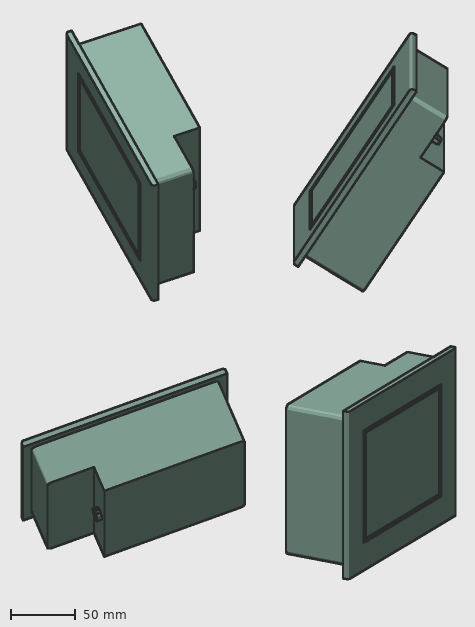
import cadquery as cq
import math

PANEL_WIDTH = 169.0
PANEL_HEIGHT = 137.0
PANEL_THICKNESS = 5.0
PANEL_EDGE_RADIUS = 2.5

FRAME_WIDTH = 120.5
FRAME_HEIGHT = 91.5
SCREEN_WIDTH = 115.0
SCREEN_HEIGHT = 86.9
FRAME_DEPTH = 0.5

HOUSING_WIDTH = 155.0
HOUSING_HEIGHT = 122.7
HOUSING_CORNER_RADIUS = 4.0
TOTAL_DEPTH = 59.5
SEAM_Y = 23.8
STEP_X = 38.9
STEP_Y = 37.9

SOCKET_SIZE = 9.5
SOCKET_CORNER_RADIUS = 3.4
POST_SIDES = 6
POST_ACROSS_FLATS = 3.9
CONNECTOR_LENGTH = 3.9
CONNECTOR_Y = 49.9


def centred_block(width, height, y_start, y_end):
    """Block centred on X and Z that spans y_start to y_end."""
    block = cq.Workplane("XY").box(width, y_end - y_start, height)
    return block.translate((0, (y_start + y_end) / 2, 0))


def make_panel():
    panel = centred_block(PANEL_WIDTH, PANEL_HEIGHT, 0, PANEL_THICKNESS)
    panel = panel.faces("<Y").edges("|Z").fillet(PANEL_EDGE_RADIUS)
    groove = centred_block(FRAME_WIDTH, FRAME_HEIGHT, 0, FRAME_DEPTH)
    screen = centred_block(SCREEN_WIDTH, SCREEN_HEIGHT, 0, FRAME_DEPTH)
    return panel.cut(groove.cut(screen))


def make_housing_section(y_start, y_end):
    section = centred_block(HOUSING_WIDTH, HOUSING_HEIGHT, y_start, y_end)
    return section.edges("|Y").fillet(HOUSING_CORNER_RADIUS)


def make_rear_cover():
    step_width = HOUSING_WIDTH / 2 - STEP_X
    step_depth = TOTAL_DEPTH - STEP_Y
    step = (
        cq.Workplane("XY")
        .box(step_width, step_depth, HOUSING_HEIGHT)
        .translate((STEP_X + step_width / 2, STEP_Y + step_depth / 2, 0))
    )
    return make_housing_section(SEAM_Y, TOTAL_DEPTH).cut(step)


def make_connector():
    side_wall = cq.Workplane("YZ", origin=(STEP_X, CONNECTOR_Y, 0))
    socket = side_wall.rect(SOCKET_SIZE, SOCKET_SIZE).extrude(CONNECTOR_LENGTH)
    socket = socket.edges("|X").fillet(SOCKET_CORNER_RADIUS)
    corner_radius = POST_ACROSS_FLATS / 2 / math.cos(math.pi / POST_SIDES)
    corners = []
    for index in range(POST_SIDES):
        angle = math.pi / 2 + 2 * math.pi * index / POST_SIDES
        corners.append((corner_radius * math.cos(angle), corner_radius * math.sin(angle) + SOCKET_SIZE / 2))
    post = side_wall.polyline(corners).close().extrude(CONNECTOR_LENGTH)
    return socket.union(post)


front_shell = make_housing_section(PANEL_THICKNESS, SEAM_Y)
result = make_panel().union(front_shell)
result = result.union(make_rear_cover(), clean=False).union(make_connector(), clean=False)